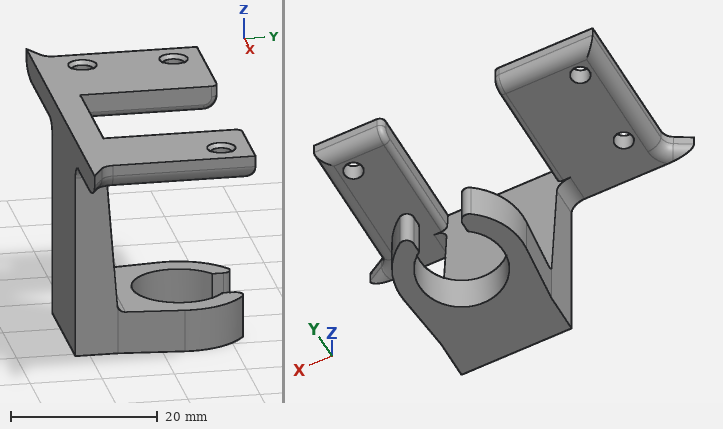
import cadquery as cq
import math

total_width = 50.0
total_height = 31.5
plate_width = 43.0
plate_depth = 23.0
plate_thickness = 3.5
plate_bottom = total_height - plate_thickness
edge_round = 2.0
flare_angle = 30.0
flare_blend = 2.0
flare_overrun = 4.0
slot_corner_round = 0.9

hole_diameter = 2.8
countersink_diameter = 3.9
countersink_angle = 90.0
hole_x = 17.5
rear_hole_y = 19.0
front_hole_y = 6.35
hole_positions = [(-hole_x, rear_hole_y), (-hole_x, front_hole_y), (hole_x, rear_hole_y)]

column_center_x = 2.4
column_width = 17.0
column_left = column_center_x - column_width / 2
column_right = column_center_x + column_width / 2
column_top_depth = 3.9
column_foot_depth = 5.9
column_blend = 2.0

clip_height = 6.0
clip_center_y = 16.0
clip_outer_radius = 9.5
clip_inner_radius = 6.5
clip_gap = 7.5
clip_tip_round = 1.1
clip_blend = 1.1


def make_plate():
    """Flared plate with a rounded lower outer edge and an open slot at the rear."""
    half_plate = plate_width / 2
    half_total = total_width / 2
    flare_slope = math.tan(math.radians(flare_angle))
    flare_depth = (half_total - half_plate) * flare_slope
    blank_half_width = half_total + flare_overrun / flare_slope
    plate = (
        cq.Workplane("XY", origin=(0, 0, plate_bottom))
        .polyline([
            (-blank_half_width, -flare_overrun),
            (blank_half_width, -flare_overrun),
            (half_plate, flare_depth),
            (half_plate, plate_depth),
            (-half_plate, plate_depth),
            (-half_plate, flare_depth),
        ])
        .close()
        .extrude(plate_thickness)
    )
    for side in (-1, 1):
        corner = cq.selectors.NearestToPointSelector(
            (side * half_plate, flare_depth, plate_bottom + plate_thickness / 2)
        )
        plate = plate.edges(corner).fillet(flare_blend)
    front_edge = cq.selectors.NearestToPointSelector((0, -flare_overrun, plate_bottom))
    lower_edges = plate.faces("<Z").edges().vals()
    front_edges = plate.edges(front_edge).vals()
    rounded_edges = [edge for edge in lower_edges if not edge.isSame(front_edges[0])]
    plate = plate.newObject(rounded_edges).fillet(edge_round)
    overrun = (
        cq.Workplane("XY", origin=(0, -flare_overrun / 2, plate_bottom))
        .rect(2 * blank_half_width, flare_overrun)
        .extrude(plate_thickness)
    )
    plate = plate.cut(overrun)

    slot_depth = plate_depth - column_top_depth
    slot = (
        cq.Workplane("XY", origin=(column_center_x, column_top_depth + slot_depth / 2, plate_bottom))
        .rect(column_width, slot_depth)
        .extrude(plate_thickness)
    )
    plate = plate.cut(slot)
    for x in (column_left, column_right):
        corner = cq.selectors.NearestToPointSelector((x, plate_depth, total_height - plate_thickness / 2))
        plate = plate.edges(corner).fillet(slot_corner_round)

    return (
        plate.faces(">Z")
        .workplane(origin=(0, 0, total_height))
        .pushPoints(hole_positions)
        .cskHole(hole_diameter, countersink_diameter, countersink_angle)
    )


def make_column():
    """Tapered column with concave blends under the plate and a sloping end wall for the slot."""
    blend_bottom = plate_bottom - column_blend
    arc_offset = column_blend * (1 - math.sqrt(0.5))
    front_shape = (
        cq.Workplane("XZ")
        .moveTo(column_left, 0)
        .lineTo(column_right, 0)
        .lineTo(column_right, blend_bottom)
        .threePointArc(
            (column_right + arc_offset, plate_bottom - arc_offset),
            (column_right + column_blend, plate_bottom),
        )
        .lineTo(column_right + column_blend, total_height)
        .lineTo(column_left - column_blend, total_height)
        .lineTo(column_left - column_blend, plate_bottom)
        .threePointArc(
            (column_left - arc_offset, plate_bottom - arc_offset),
            (column_left, blend_bottom),
        )
        .close()
        .extrude(-column_foot_depth)
    )
    side_shape = (
        cq.Workplane("YZ", origin=(-total_width / 2, 0, 0))
        .polyline([
            (0, 0),
            (column_foot_depth, 0),
            (column_foot_depth, clip_height),
            (column_top_depth, total_height),
            (0, total_height),
        ])
        .close()
        .extrude(total_width)
    )
    return front_shape.intersect(side_shape)


def make_clip():
    """Open ring joined to the column by walls tangent to its outside."""
    corner_x = column_width / 2
    corner_y = column_foot_depth - clip_center_y
    corner_distance = math.hypot(corner_x, corner_y)
    tangent_angle = math.atan2(corner_y, corner_x) + math.acos(clip_outer_radius / corner_distance)
    tangent_x = clip_outer_radius * math.cos(tangent_angle)
    tangent_y = clip_outer_radius * math.sin(tangent_angle)

    gap_x = clip_gap / 2
    outer_y = math.sqrt(clip_outer_radius**2 - gap_x**2)
    inner_y = math.sqrt(clip_inner_radius**2 - gap_x**2)
    middle_angle = (tangent_angle + math.atan2(outer_y, gap_x)) / 2
    middle_x = clip_outer_radius * math.cos(middle_angle)
    middle_y = clip_outer_radius * math.sin(middle_angle)

    clip = (
        cq.Workplane("XY", origin=(column_center_x, clip_center_y, 0))
        .moveTo(-corner_x, corner_y)
        .lineTo(corner_x, corner_y)
        .lineTo(tangent_x, tangent_y)
        .threePointArc((middle_x, middle_y), (gap_x, outer_y))
        .lineTo(gap_x, inner_y)
        .threePointArc((0, -clip_inner_radius), (-gap_x, inner_y))
        .lineTo(-gap_x, outer_y)
        .threePointArc((-middle_x, middle_y), (-tangent_x, tangent_y))
        .close()
        .extrude(clip_height)
    )
    for side in (-1, 1):
        tip = cq.selectors.NearestToPointSelector(
            (column_center_x + side * gap_x, clip_center_y + outer_y, clip_height / 2)
        )
        clip = clip.edges(tip).fillet(clip_tip_round)
    return clip


bracket = make_plate().union(make_column()).union(make_clip())

clip_joint = cq.selectors.NearestToPointSelector((column_center_x, column_foot_depth, clip_height))
result = bracket.edges(clip_joint).fillet(clip_blend)